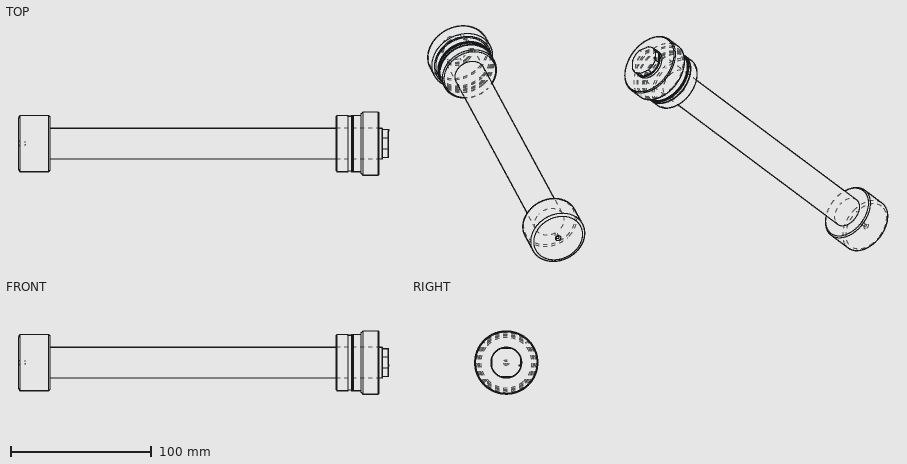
import cadquery as cq

total_length = 263.0

rod_radius = 11.0
head_radius = 20.0
head_length = 22.5
head_front_chamfer_length = 1.0
head_front_chamfer_depth = 2.0
head_back_chamfer = 1.0
center_hole_radius = 1.0
center_countersink_radius = 2.0
center_hole_depth = 5.0

tip_length = 4.0
tip_radius = 10.7
tip_chamfer_length = 0.6
tip_flat_width = 20.0

pip_radius = 0.4
pip_height = 0.5
pip_y = 9.5
pip_z = -2.0

rod_end = total_length - pip_height
tip_start = rod_end - tip_length

bush_start = 225.2
bush_length = 30.8
bush_radius = 20.0
bush_chamfer = 1.0
wide_groove_offset = 8.5
wide_groove_width = 2.5
narrow_groove_offset = 11.8
narrow_groove_width = 0.7
wide_groove_depth = 0.5
narrow_groove_depth = 0.3
flange_length = 13.0
flange_radius = 22.5
flange_front_chamfer_length = 1.5
flange_front_chamfer_depth = 1.5
flange_back_chamfer = 0.7


def revolve_profile(points):
    """Turn an (x, radius) outline, placed on the -Y side, into a solid about the X axis."""
    outline = [(x, -radius) for x, radius in points]
    return cq.Workplane("XY").polyline(outline).close().revolve(360, (0, 0, 0), (1, 0, 0))


def make_rod_blank():
    """Head, shank and reduced tip as one turned shape with a center-drilled head face."""
    countersink_depth = center_countersink_radius - center_hole_radius
    return revolve_profile([
        (center_hole_depth, 0),
        (center_hole_depth, center_hole_radius),
        (countersink_depth, center_hole_radius),
        (0, center_countersink_radius),
        (0, head_radius - head_front_chamfer_depth),
        (head_front_chamfer_length, head_radius),
        (head_length - head_back_chamfer, head_radius),
        (head_length, head_radius - head_back_chamfer),
        (head_length, rod_radius),
        (tip_start - tip_chamfer_length, rod_radius),
        (tip_start, tip_radius),
        (rod_end, tip_radius),
        (rod_end, 0),
    ])


def make_tip_flats():
    """Material outside the square across-flats section of the rod tip."""
    tip_plane = cq.Workplane("YZ", origin=(tip_start, 0, 0))
    square = tip_plane.rect(tip_flat_width, tip_flat_width).extrude(tip_length)
    return tip_plane.circle(rod_radius).extrude(tip_length).cut(square)


def make_pip():
    """Round pip standing on the rod end face."""
    return cq.Workplane("YZ", origin=(rod_end, pip_y, pip_z)).circle(pip_radius).extrude(pip_height)


rod = make_rod_blank().cut(make_tip_flats()).union(make_pip())


def groove_points(start, width, depth):
    """Outline corners of a square groove in the bush body."""
    floor_radius = bush_radius - depth
    return [
        (start, bush_radius),
        (start, floor_radius),
        (start + width, floor_radius),
        (start + width, bush_radius),
    ]


def make_bush():
    """Guide bush with two ring grooves and a chamfered flange, bored to fit the rod."""
    bush_end = bush_start + bush_length
    flange_start = bush_end - flange_length
    return revolve_profile([
        (bush_start, rod_radius),
        (bush_start, bush_radius - bush_chamfer),
        (bush_start + bush_chamfer, bush_radius),
        *groove_points(bush_start + wide_groove_offset, wide_groove_width, wide_groove_depth),
        *groove_points(bush_start + narrow_groove_offset, narrow_groove_width, narrow_groove_depth),
        (flange_start, bush_radius),
        (flange_start, flange_radius - flange_front_chamfer_depth),
        (flange_start + flange_front_chamfer_length, flange_radius),
        (bush_end - flange_back_chamfer, flange_radius),
        (bush_end, flange_radius - flange_back_chamfer),
        (bush_end, rod_radius),
    ])


bush = make_bush()

result = cq.Compound.makeCompound([rod.val(), bush.val()])